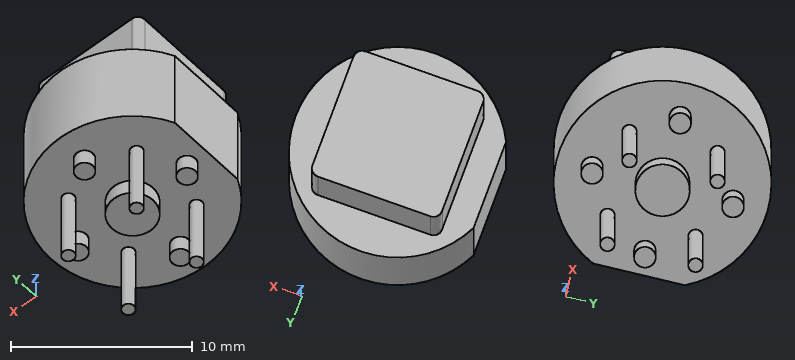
import cadquery as cq

body_diameter = 12.0
body_height = 6.0
flat_offset = 5.4

button_width = 7.6
button_height = 4.0
button_corner_radius = 0.5

peg_length = 1.1
center_peg_diameter = 3.0
outer_peg_diameter = 1.2
outer_peg_circle_diameter = 8.0
outer_peg_count = 4

pin_diameter = 0.8
pin_length = 5.1
pin_pitch = 5.0


def make_body():
    """Cylinder cut by a plane parallel to the YZ plane."""
    cylinder = cq.Workplane("XY").circle(body_diameter / 2).extrude(body_height)
    kept_side = (
        cq.Workplane("XY")
        .box(body_diameter, body_diameter, body_height, centered=(False, True, False))
        .translate((-flat_offset, 0, 0))
    )
    return cylinder.intersect(kept_side)


def make_button():
    """Square block with rounded vertical edges, standing on the body."""
    return (
        cq.Workplane("XY", origin=(0, 0, body_height))
        .rect(button_width, button_width)
        .extrude(button_height)
        .edges("|Z")
        .fillet(button_corner_radius)
    )


def make_pegs():
    """Short cylinders hanging from the underside of the body."""
    underside = cq.Workplane("XY")
    center_peg = underside.circle(center_peg_diameter / 2).extrude(-peg_length)
    outer_pegs = (
        underside.polarArray(outer_peg_circle_diameter / 2, 0, 360, outer_peg_count)
        .circle(outer_peg_diameter / 2)
        .extrude(-peg_length)
    )
    return center_peg.add(outer_pegs).combine()


def make_pins():
    """Four long pins at the corners of a square."""
    return (
        cq.Workplane("XY")
        .rarray(pin_pitch, pin_pitch, 2, 2)
        .circle(pin_diameter / 2)
        .extrude(-pin_length)
    )


result = make_body().union(make_button()).union(make_pegs()).union(make_pins())